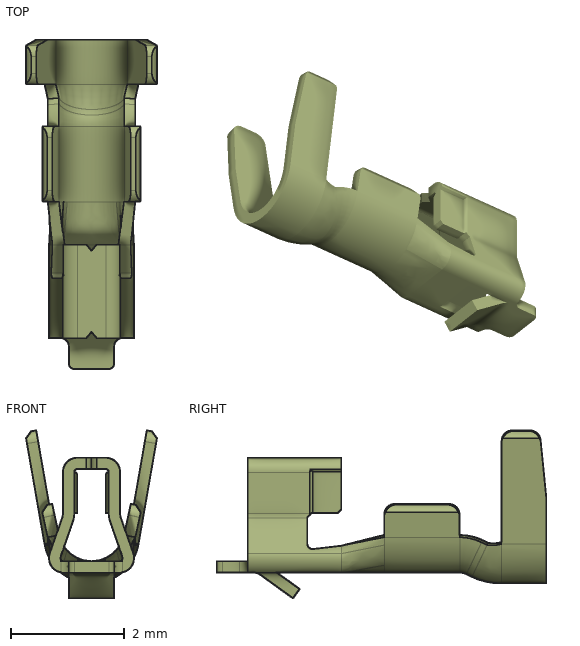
import cadquery as cq
import math


SHEET = 0.205
BEND_RADIUS = 0.255

BOX_LENGTH = 1.65
BOX_HEIGHT = 2.025
BOX_TOP_HALF = 0.505
BOX_BASE_HALF = 0.85
WAIST_Z = 1.005

OPENING_FRONT_Y = 1.05
OPENING_TOP_Z = 1.05
OPENING_SILL_Z = 0.405
RIM_Z = 0.475
OPENING_CORNER = 0.09
OPENING_CHAMFER = 0.075
PANEL_CHAMFER = 0.06

STEP_DEPTH = 0.05
STEP_FRONT_Y = 1.095
STEP_OUTER_TOP_Z = 1.825
STEP_INNER_TOP_Z = 1.785

NOTCH_HALF = 0.09
NOTCH_DEPTH = 0.11

TONGUE_LENGTH = 0.545
TONGUE_HALF = 0.4
TONGUE_CORNER = 0.1
TONGUE_ROOT_RADIUS = 0.145
LANCE_HINGE_Y = 0.105
LANCE_BEND_RADIUS = 0.205
LANCE_LENGTH = 0.71
LANCE_ANGLE = 35.8

WIRE_FRONT_Y = 2.4
WIRE_REAR_Y = 3.73
WIRE_RADIUS = 0.79
WIRE_BOTTOM_Z = 0.0
WIRE_SPLAY = 12.2
WIRE_TOP_Z = 1.21
INSULATION_FRONT_Y = 4.465
INSULATION_REAR_Y = 5.255
INSULATION_RADIUS = 0.84
INSULATION_BOTTOM_Z = -0.19
INSULATION_SPLAY = 9.9
INSULATION_TOP_Z = 2.505

TIP_BEVEL = 0.11
TIP_CORNER = 0.2
TAPER_START_Z = 1.305
TAPER_INSET = 0.115

JOGGLE_ANGLE = 25.5
JOGGLE_TOP_RADIUS = 0.26
JOGGLE_SECTIONS = 5


def across_plane(y):
    """Plane at station y with local x along X and local y along Z."""
    return cq.Plane(origin=(0, y, 0), xDir=(1, 0, 0), normal=(0, -1, 0))


def prism_along_y(points, front_y, rear_y):
    return cq.Workplane(across_plane(rear_y)).polyline(points).close().extrude(rear_y - front_y)


def prism_along_x(points, left_x, right_x):
    """Prism from a (Y, Z) outline."""
    return cq.Workplane("YZ", origin=(left_x, 0, 0)).polyline(points).close().extrude(right_x - left_x)


def both_sides(body):
    return body.union(body.mirror("YZ"))


def polar(center_z, radius, angle):
    """Point on a circle about (0, center_z); the angle is measured from the downward direction."""
    a = math.radians(angle)
    return (radius * math.sin(a), center_z - radius * math.cos(a))


def arc_edge(center_z, radius, start, end, y):
    """Circular edge across the part between two angles from straight down."""
    x_z = [polar(center_z, radius, a) for a in (start, (start + end) / 2, end)]
    return cq.Edge.makeThreePointArc(*[cq.Vector(x, y, z) for x, z in x_z])


def line_edge(start, end, y):
    return cq.Edge.makeLine(cq.Vector(start[0], y, start[1]), cq.Vector(end[0], y, end[1]))


def trough_wire(y, radius, bottom_z, splay, outer_splits=(), inner_splits=()):
    """Open trough section: two arcs joined by radial rims, optionally split at given angles."""
    center_z = bottom_z + radius
    reach = 90 - splay
    inner = radius - SHEET

    def spans(splits):
        stops = [-reach, *[-s for s in reversed(splits)], *splits, reach]
        return list(zip(stops, stops[1:]))

    edges = [arc_edge(center_z, radius, a, b, y) for a, b in spans(outer_splits)]
    edges.append(line_edge(polar(center_z, radius, reach), polar(center_z, inner, reach), y))
    edges += [arc_edge(center_z, inner, b, a, y) for a, b in reversed(spans(inner_splits))]
    edges.append(line_edge(polar(center_z, inner, -reach), polar(center_z, radius, -reach), y))
    return cq.Wire.assembleEdges(edges)



SLOPE = math.atan2(BOX_BASE_HALF - BOX_TOP_HALF, WAIST_Z)
BEND_CENTER_X = BOX_BASE_HALF - BEND_RADIUS * math.tan((math.pi / 2 + SLOPE) / 2)


def contact_box():
    outline = [
        (-BOX_BASE_HALF, 0), (BOX_BASE_HALF, 0),
        (BOX_TOP_HALF, WAIST_Z), (BOX_TOP_HALF, BOX_HEIGHT),
        (-BOX_TOP_HALF, BOX_HEIGHT), (-BOX_TOP_HALF, WAIST_Z),
    ]
    outer = prism_along_y(outline, 0, BOX_LENGTH).edges("|Y").fillet(BEND_RADIUS)
    section = outer.faces("<Y").wires().first().val()
    bore = section.offset2D(-SHEET)[0]
    cavity = cq.Solid.extrudeLinear(bore, [], cq.Vector(0, BOX_LENGTH, 0))
    return outer.cut(cq.Workplane(cavity))


def side_openings():
    """Cutter through both walls, running out of the rear of the box."""
    rear = BOX_LENGTH
    outline = [
        (rear, RIM_Z), (OPENING_FRONT_Y, OPENING_SILL_Z),
        (OPENING_FRONT_Y, OPENING_TOP_Z - OPENING_CHAMFER),
        (OPENING_FRONT_Y + OPENING_CHAMFER, OPENING_TOP_Z),
        (rear - PANEL_CHAMFER, OPENING_TOP_Z), (rear, OPENING_TOP_Z + PANEL_CHAMFER),
    ]
    cutter = prism_along_x(outline, -BOX_BASE_HALF, BOX_BASE_HALF)
    corner = cq.selectors.NearestToPointSelector((0, OPENING_FRONT_Y, OPENING_SILL_Z))
    return cutter.edges("|X").edges(corner).fillet(OPENING_CORNER)


def wall_step(face_x, top_z):
    """Block one step deep lying inside the plane X = face_x, bevelled at its front and top."""
    def outline(inset):
        return [
            (STEP_FRONT_Y + inset, OPENING_TOP_Z), (BOX_LENGTH, OPENING_TOP_Z),
            (BOX_LENGTH, top_z - inset), (STEP_FRONT_Y + inset, top_z - inset),
        ]
    return (
        cq.Workplane("YZ", origin=(face_x, 0, 0)).polyline(outline(0)).close()
        .workplane(offset=-STEP_DEPTH).polyline(outline(STEP_DEPTH)).close()
        .loft(ruled=True)
    )


def roof_notch(edge_y, depth):
    corners = [(-NOTCH_HALF, edge_y), (NOTCH_HALF, edge_y), (0, edge_y + depth)]
    return cq.Workplane("XY", origin=(0, 0, BOX_HEIGHT - SHEET)).polyline(corners).close().extrude(SHEET)



def tongue():
    body = (
        cq.Workplane("XY")
        .box(2 * TONGUE_HALF, TONGUE_LENGTH, SHEET, centered=(True, False, False))
        .translate((0, -TONGUE_LENGTH, 0))
        .edges("|Z and <Y").fillet(TONGUE_CORNER)
    )
    root = TONGUE_ROOT_RADIUS
    gusset = (
        cq.Workplane("XY").moveTo(TONGUE_HALF, 0).lineTo(TONGUE_HALF + root, 0)
        .radiusArc((TONGUE_HALF, -root), -root).close().extrude(SHEET)
    )
    return body.union(both_sides(gusset))


def lance_window():
    """Hole left by the lance, as long as the flat strip it was bent from."""
    bend_length = math.radians(LANCE_ANGLE) * (LANCE_BEND_RADIUS + SHEET / 2)
    return (
        cq.Workplane("XY")
        .box(2 * TONGUE_HALF, bend_length + LANCE_LENGTH, SHEET, centered=(True, False, False))
        .translate((0, LANCE_HINGE_Y, 0))
    )


def lance():
    """Strip bent down from the floor, pointing rearward."""
    bend_z = -LANCE_BEND_RADIUS
    full = math.radians(LANCE_ANGLE)

    def on_bend(height, angle):
        radius = LANCE_BEND_RADIUS + height
        return (LANCE_HINGE_Y + radius * math.sin(angle), bend_z + radius * math.cos(angle))

    def tip(height):
        y, z = on_bend(height, full)
        return (y + LANCE_LENGTH * math.cos(full), z - LANCE_LENGTH * math.sin(full))

    return (
        cq.Workplane("YZ", origin=(-TONGUE_HALF, 0, 0))
        .moveTo(*on_bend(0, 0)).lineTo(*on_bend(SHEET, 0))
        .threePointArc(on_bend(SHEET, full / 2), on_bend(SHEET, full))
        .lineTo(*tip(SHEET)).lineTo(*tip(0)).lineTo(*on_bend(0, full))
        .threePointArc(on_bend(0, full / 2), on_bend(0, 0)).close()
        .extrude(2 * TONGUE_HALF)
    )



def trough(front_y, rear_y, radius, bottom_z, splay):
    wire = trough_wire(front_y, radius, bottom_z, splay)
    return cq.Workplane(cq.Solid.extrudeLinear(wire, [], cq.Vector(0, rear_y - front_y, 0)))


def wing(front_y, rear_y, radius, bottom_z, splay, top_z, taper_inset):
    """Flat wing on the +X side, rising tangentially from the trough, with a bevelled, rounded tip.

    It is built upright, with its outer foot on the Y axis, then leaned outward into place.
    """
    center_z = bottom_z + radius
    lean = math.cos(math.radians(splay))
    foot_x, foot_z = polar(center_z, radius, 90 - splay)
    inner_foot_z = polar(center_z, radius - SHEET, 90 - splay)[1]
    length = (top_z - inner_foot_z) / lean
    taper_start = min((TAPER_START_Z - foot_z) / lean, length / 2)
    silhouette = [
        (front_y, 0), (rear_y, 0), (rear_y, taper_start),
        (rear_y - taper_inset, length), (front_y, length),
    ]
    section = [
        (-SHEET, 0), (0, 0), (0, length - TIP_BEVEL), (-TIP_BEVEL, length), (-SHEET, length),
    ]
    plate = prism_along_x(silhouette, -SHEET, 0).edges("|X and >Z").fillet(TIP_CORNER)
    upright = plate.intersect(prism_along_y(section, front_y, rear_y))
    return upright.rotate((0, 0, 0), (0, 1, 0), splay).translate((foot_x, 0, foot_z))


def barrel(front_y, rear_y, radius, bottom_z, splay, top_z, taper_inset):
    wings = both_sides(wing(front_y, rear_y, radius, bottom_z, splay, top_z, taper_inset))
    return trough(front_y, rear_y, radius, bottom_z, splay).union(wings)



def blend(start, end, share):
    return start + (end - start) * share


def joggle():
    """Trough that bends up from the insulation barrel, climbs and bends level into the wire barrel."""
    climb = math.radians(JOGGLE_ANGLE)
    rise = WIRE_BOTTOM_Z - INSULATION_BOTTOM_Z
    run = INSULATION_FRONT_Y - WIRE_REAR_Y
    straight = rise / math.tan(climb / 2) - run
    lower_radius = (run - straight * math.cos(climb)) / math.sin(climb) - JOGGLE_TOP_RADIUS

    lower_wires = []
    for i in range(JOGGLE_SECTIONS):
        share = i / (JOGGLE_SECTIONS - 1)
        wire = trough_wire(
            INSULATION_FRONT_Y,
            blend(INSULATION_RADIUS, WIRE_RADIUS, share),
            INSULATION_BOTTOM_Z,
            blend(INSULATION_SPLAY, WIRE_SPLAY, share),
        )
        pivot = cq.Vector(0, INSULATION_FRONT_Y, INSULATION_BOTTOM_Z + lower_radius)
        lower_wires.append(wire.rotate(pivot, pivot + cq.Vector(0.06, 0, 0), -JOGGLE_ANGLE * share))
    lower_bend = cq.Solid.makeLoft(lower_wires)

    forward = cq.Vector(0, -math.cos(climb), math.sin(climb))
    slope = cq.Solid.extrudeLinear(lower_wires[-1], [], forward * straight)

    level_wire = trough_wire(WIRE_REAR_Y, WIRE_RADIUS, WIRE_BOTTOM_Z, WIRE_SPLAY)
    pivot = cq.Vector(0, WIRE_REAR_Y, WIRE_BOTTOM_Z - JOGGLE_TOP_RADIUS)
    upper_bend = cq.Solid.revolve(level_wire, [], -JOGGLE_ANGLE, pivot, pivot + cq.Vector(0.06, 0, 0))

    return cq.Workplane(upper_bend).union(cq.Workplane(slope)).union(cq.Workplane(lower_bend))


def right_floor_points(radius):
    """Points up the +X side of the lower box section: bend start, middle and end, then the rim."""
    full = math.pi / 2 + SLOPE
    bend = [
        (BEND_CENTER_X + radius * math.sin(a), BEND_RADIUS - radius * math.cos(a))
        for a in (0, full / 2, full)
    ]
    end_x, end_z = bend[-1]
    return [*bend, (end_x - (RIM_Z - end_z) * math.tan(SLOPE), RIM_Z)]


def box_floor_wire(y):
    """Lower part of the box section, up to the rim, in the same edge order as a split trough."""
    def vector(point, side):
        return cq.Vector(side * point[0], y, point[1])

    def bend_edge(a, b, c, side):
        return cq.Edge.makeThreePointArc(vector(a, side), vector(b, side), vector(c, side))

    def wall_edge(a, b, side):
        return cq.Edge.makeLine(vector(a, side), vector(b, side))

    foot, middle, tangent, rim = right_floor_points(BEND_RADIUS)
    in_foot, in_middle, in_tangent, in_rim = right_floor_points(BEND_RADIUS - SHEET)
    return cq.Wire.assembleEdges([
        wall_edge(rim, tangent, -1),
        bend_edge(tangent, middle, foot, -1),
        line_edge((-foot[0], foot[1]), foot, y),
        bend_edge(foot, middle, tangent, 1),
        wall_edge(tangent, rim, 1),
        wall_edge(rim, in_rim, 1),
        wall_edge(in_rim, in_tangent, 1),
        bend_edge(in_tangent, in_middle, in_foot, 1),
        line_edge(in_foot, (-in_foot[0], in_foot[1]), y),
        bend_edge(in_foot, in_middle, in_tangent, -1),
        wall_edge(in_tangent, in_rim, -1),
        wall_edge(in_rim, rim, -1),
    ])


def matching_splits(radius):
    """Trough angles that divide the wire barrel arc in the same proportions as the box section."""
    reach = 90 - WIRE_SPLAY
    end_z = right_floor_points(radius)[2][1]
    floor = BEND_CENTER_X
    bend = radius * (math.pi / 2 + SLOPE)
    wall = (RIM_Z - end_z) / math.cos(SLOPE)
    total = floor + bend + wall
    return (reach * floor / total, reach * (floor + bend) / total)


def neck():
    """Change of section from the flat box floor to the round wire barrel."""
    round_end = trough_wire(
        WIRE_FRONT_Y, WIRE_RADIUS, WIRE_BOTTOM_Z, WIRE_SPLAY,
        matching_splits(BEND_RADIUS), matching_splits(BEND_RADIUS - SHEET),
    )
    return cq.Workplane(cq.Solid.makeLoft([box_floor_wire(BOX_LENGTH), round_end], ruled=True))



box = contact_box().cut(both_sides(wall_step(BOX_TOP_HALF, STEP_OUTER_TOP_Z)))
box = box.union(both_sides(wall_step(BOX_TOP_HALF - SHEET, STEP_INNER_TOP_Z)))
box = box.cut(side_openings())
box = box.cut(roof_notch(0, NOTCH_DEPTH)).cut(roof_notch(BOX_LENGTH, -NOTCH_DEPTH))
box = box.cut(lance_window()).union(tongue()).union(lance())

wire_barrel = barrel(
    WIRE_FRONT_Y, WIRE_REAR_Y, WIRE_RADIUS, WIRE_BOTTOM_Z, WIRE_SPLAY, WIRE_TOP_Z, 0
)
insulation_barrel = barrel(
    INSULATION_FRONT_Y, INSULATION_REAR_Y, INSULATION_RADIUS, INSULATION_BOTTOM_Z,
    INSULATION_SPLAY, INSULATION_TOP_Z, TAPER_INSET,
)

result = box.union(neck()).union(wire_barrel).union(joggle()).union(insulation_barrel)